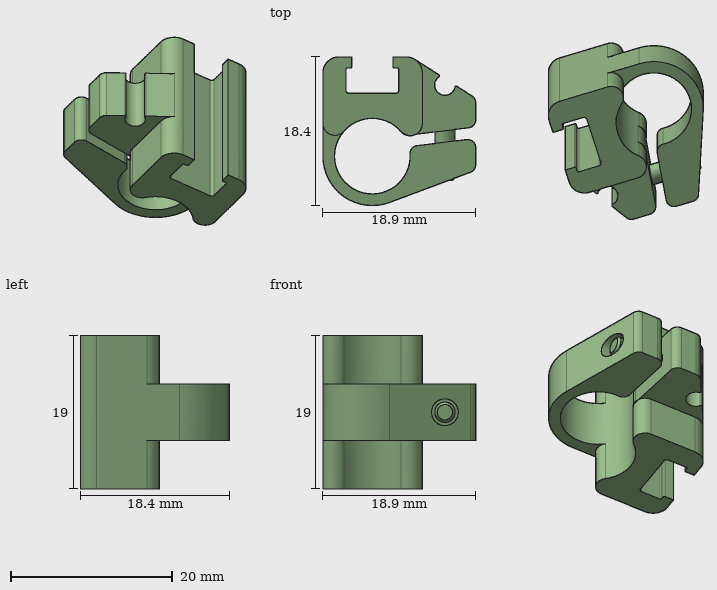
import cadquery as cq
import math

length = 19.0
bore_radius = 4.65
outer_radius = 6.12
top_y = 12.27
right_x = 12.79
band_height = 7.03

rail_right_x = 6.18
rail_corner = 2.0
lobe_radius = 1.5
slot_half_width = 3.25
slot_floor_y = 7.77
slot_floor_fillet = 0.36
mouth_half_width = 2.53
lip_thickness = 1.39
lip_fillet = 0.17

ear_slope = math.radians(32.6)
arm_slope = math.radians(20.5)
split_slope = math.radians(7.0)
split_upper_y = 2.03
split_lower_y = 0.63
ear_fillet = 1.0

screw_x = 8.97
screw_radius = 1.25
screw_tip_y = -2.98
screw_chamfer = 0.3
screw_hole_radius = 1.65
screw_top_y = 4.75
notch_y = 8.78
notch_radius = 1.25
notch_fillet = 0.15


def prism(outline, height):
    """Close an XY outline and extrude it symmetrically about Z = 0."""
    return outline.close().extrude(height / 2, both=True)


def tangent_point(center_x, center_y, radius, angle):
    """Point on a circle at the given angle from +X."""
    return (center_x + radius * math.cos(angle), center_y + radius * math.sin(angle))


def lobe_center(side_x):
    """Center of a +X lobe that touches both the rail side and the bore circle."""
    x = side_x - lobe_radius
    return x, math.sqrt((bore_radius + lobe_radius) ** 2 - x**2)


def bore_touch(center):
    """Point where a lobe meets the bore circle."""
    return tangent_point(0, 0, bore_radius, math.atan2(center[1], center[0]))


left_lobe = lobe_center(outer_radius)
right_lobe = lobe_center(rail_right_x)


def rail_block():
    left_touch = bore_touch(left_lobe)
    block = prism(
        cq.Workplane("XY")
        .moveTo(-outer_radius, top_y)
        .lineTo(rail_right_x, top_y)
        .lineTo(rail_right_x, right_lobe[1])
        .threePointArc((right_lobe[0], right_lobe[1] - lobe_radius), bore_touch(right_lobe))
        .threePointArc((0, bore_radius), (-left_touch[0], left_touch[1]))
        .threePointArc((-left_lobe[0], left_lobe[1] - lobe_radius), (-outer_radius, left_lobe[1])),
        length,
    )
    return block.edges("|Z and >Y").fillet(rail_corner)


def tee_slot():
    lip_y = top_y - lip_thickness
    wide = (
        cq.Workplane("XY")
        .box(2 * slot_half_width, lip_y - slot_floor_y, length)
        .translate((0, (lip_y + slot_floor_y) / 2, 0))
        .edges("|Z and <Y")
        .fillet(slot_floor_fillet)
    )
    mouth = (
        cq.Workplane("XY")
        .box(2 * mouth_half_width, top_y - slot_floor_y, length)
        .translate((0, (top_y + slot_floor_y) / 2, 0))
    )
    slot = wide.union(mouth)
    lip_edges = cq.selectors.BoxSelector(
        (-outer_radius, lip_y - lip_fillet, -length),
        (outer_radius, lip_y + lip_fillet, length),
    )
    return slot.edges("|Z").edges(lip_edges).fillet(lip_fillet)


def split_gap():
    """Slot between the ears, with a rounded nose joining its upper face to the bore."""
    slope = math.tan(split_slope)
    reach = bore_radius + lobe_radius
    axis_height = split_upper_y * math.cos(split_slope) + lobe_radius
    nose_angle = math.asin(axis_height / reach) + split_slope
    nose = tangent_point(0, 0, reach, nose_angle)
    face_touch = tangent_point(*nose, lobe_radius, split_slope - math.pi / 2)
    nose_middle = tangent_point(*nose, lobe_radius, (nose_angle + split_slope - 3 * math.pi / 2) / 2)
    return prism(
        cq.Workplane("XY")
        .moveTo(0, split_lower_y)
        .lineTo(right_x, split_lower_y + right_x * slope)
        .lineTo(right_x, split_upper_y + right_x * slope)
        .lineTo(*face_touch)
        .threePointArc(nose_middle, bore_touch(nose)),
        band_height,
    )


def clamp_band():
    corner_x = rail_right_x - rail_corner
    corner_y = top_y - rail_corner
    ear_start = tangent_point(corner_x, corner_y, rail_corner, math.pi / 2 - ear_slope)
    ear_end_y = ear_start[1] - (right_x - ear_start[0]) * math.tan(ear_slope)
    arm_start = tangent_point(0, 0, outer_radius, arm_slope - math.pi / 2)
    arm_end_y = arm_start[1] + (right_x - arm_start[0]) * math.tan(arm_slope)
    body = prism(
        cq.Workplane("XY")
        .moveTo(-outer_radius, 0)
        .lineTo(-outer_radius, left_lobe[1])
        .lineTo(corner_x, corner_y)
        .lineTo(*ear_start)
        .lineTo(right_x, ear_end_y)
        .lineTo(right_x, arm_end_y)
        .lineTo(*arm_start)
        .threePointArc(tangent_point(0, 0, outer_radius, -3 * math.pi / 4), (-outer_radius, 0)),
        band_height,
    )
    bore = cq.Workplane("XY").circle(bore_radius).extrude(length / 2, both=True)
    body = body.cut(bore).cut(split_gap())
    body = body.edges("|Z and >X").fillet(ear_fillet)
    lower_jaw = cq.selectors.BoxSelector(
        (bore_radius - ear_fillet, 0, -length),
        (bore_radius + ear_fillet, right_lobe[1] - lobe_radius, length),
    )
    return body.edges("|Z").edges(lower_jaw).fillet(ear_fillet)


def cut_notch(body):
    notch = (
        cq.Workplane("XY")
        .center(screw_x, notch_y)
        .circle(notch_radius)
        .extrude(length / 2, both=True)
    )
    body = body.cut(notch)
    mouth_edges = cq.selectors.BoxSelector(
        (screw_x - notch_radius, notch_y - notch_radius, -length),
        (screw_x + 2 * notch_radius, notch_y + 2 * notch_radius, length),
    )
    return body.edges("|Z").edges(mouth_edges).fillet(notch_fillet)


def along_y(radius, start_y, end_y):
    """Cylinder on the screw axis between two Y positions."""
    return (
        cq.Workplane("XZ", origin=(screw_x, start_y, 0))
        .circle(radius)
        .extrude(start_y - end_y)
    )


def add_screw(body):
    split_middle_y = (split_lower_y + split_upper_y) / 2 + screw_x * math.tan(split_slope)
    clearance = along_y(screw_hole_radius, split_middle_y, -outer_radius)
    screw = along_y(screw_radius, screw_top_y, screw_tip_y).faces("<Y").chamfer(screw_chamfer)
    return body.cut(clearance).union(screw)


clamp = rail_block().cut(split_gap()).union(cut_notch(clamp_band())).cut(tee_slot())
result = add_screw(clamp)